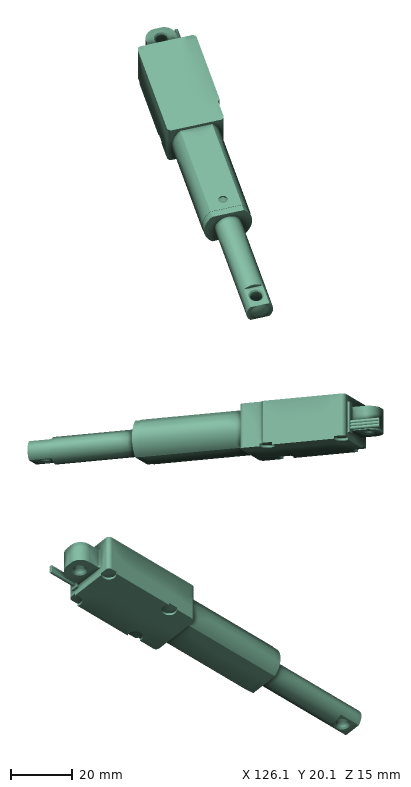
import cadquery as cq


housing_length = 37.6
housing_height = 15.0
housing_width = 19.3
housing_corner_radius = 1.4
bulge_depth = 0.8
bulge_length = 28.9

clevis_length = 8.8
clevis_width = 10.3
clevis_height = 8.0
clevis_corner_radius = 4.2
clevis_root_radius = 0.8
eye_diameter = 4.0
eye_chamfer = 0.5
clevis_eye_x = -4.3

recess_radius = 2.5
recess_depth = 0.9
recess_xs = [1.6, 27.9]
recess_ys = [-7.8, 9.2]

grommet_y = 6.7
grommet_width = 2.6
grommet_height = 10.3
grommet_projection = 0.8
grommet_insertion = 1.3
wire_count = 3
wire_diameter = 1.3
wire_pitch = 1.0
cable_z = -2.5
cable_y = 6.8
cable_length = 10.8

barrel_length = 36.1
barrel_radius = 8.3
barrel_height = 12.6
collar_length = 2.3
collar_inset = 0.1
dimple_diameter = 3.0
dimple_depth = 0.6
dimple_to_collar = 3.9

rod_radius = 4.5
flange_length = 0.4
window_gap = 0.4
window_length = 7.7
rod_end_x = 106.3
core_thickness = 6.4
core_waist_diameter = 5.0
tip_length = 8.0
dome_height = 1.0
tip_eye_x = 109.8

barrel_end_x = housing_length + barrel_length
collar_end_x = barrel_end_x + collar_length
rod_start_x = collar_end_x + flange_length
window_start_x = rod_start_x + window_gap
window_end_x = window_start_x + window_length
tip_end_x = rod_end_x + tip_length


def block(x_start, x_end, width, height, y=0.0, z=0.0):
    """A box between two X positions, centred on y and z."""
    length = x_end - x_start
    return cq.Workplane("XY").box(length, width, height).translate((x_start + length / 2, y, z))


def round_bar(radius, x_start, x_end, y=0.0, z=0.0):
    """A cylinder along X."""
    return cq.Workplane("YZ", origin=(x_start, y, z)).circle(radius).extrude(x_end - x_start)


def flattened_bar(radius, height, x_start, x_end):
    """A cylinder along X, cut flat above and below."""
    return round_bar(radius, x_start, x_end).intersect(block(x_start, x_end, 2 * radius, height))


def eye_cutter(x, height):
    """A vertical eye hole with a chamfer at both ends."""
    radius = eye_diameter / 2
    half = height / 2
    return (
        cq.Workplane("XZ")
        .moveTo(0, -half)
        .lineTo(radius + eye_chamfer, -half)
        .lineTo(radius, eye_chamfer - half)
        .lineTo(radius, half - eye_chamfer)
        .lineTo(radius + eye_chamfer, half)
        .lineTo(0, half)
        .close()
        .revolve(360, (0, 0), (0, 1))
        .translate((x, 0, 0))
    )


def housing_box():
    """The main box, with the shallow bulge along its +Y side."""
    side = housing_width / 2
    return (
        cq.Workplane("XY", origin=(0, 0, -housing_height / 2))
        .moveTo(0, -side)
        .lineTo(housing_length, -side)
        .lineTo(housing_length, side)
        .lineTo(bulge_length + bulge_depth, side)
        .lineTo(bulge_length, side + bulge_depth)
        .lineTo(0, side + bulge_depth)
        .close()
        .extrude(housing_height)
        .edges("(<X or >X) and |Z")
        .fillet(housing_corner_radius)
    )


def rear_clevis():
    """The rounded lug, flared by a fillet where it meets the housing."""
    half = clevis_width / 2
    root = clevis_root_radius
    lug = block(-clevis_length, root, clevis_width, clevis_height)
    lug = lug.edges("<X and |Z").fillet(clevis_corner_radius)
    flare = block(-root, root, clevis_width + 2 * root, clevis_height)
    for side in (-1, 1):
        corner = cq.Workplane("XY").cylinder(clevis_height, root)
        flare = flare.cut(corner.translate((-root, side * (half + root), 0)))
    return lug.union(flare).cut(eye_cutter(clevis_eye_x, clevis_height))


def screw_recesses():
    """Round recesses that break out through the side walls."""
    points = [(x, y) for x in recess_xs for y in recess_ys]
    return (
        cq.Workplane("XY", origin=(0, 0, -housing_height / 2))
        .pushPoints(points)
        .circle(recess_radius)
        .extrude(recess_depth)
    )


def grommet_block():
    """The rectangular grommet, seated in both housing halves."""
    return block(-grommet_projection, grommet_insertion, grommet_width, grommet_height, grommet_y)


def make_cable():
    """The grommet and the flat cable of joined round wires."""
    cable = grommet_block()
    for i in range(wire_count):
        z = cable_z + (i - (wire_count - 1) / 2) * wire_pitch
        cable = cable.union(round_bar(wire_diameter / 2, -cable_length, 0, cable_y, z))
    return cable


def make_housing_half(side):
    """The housing half above (side = 1) or below (side = -1) the parting plane."""
    whole = housing_box().union(rear_clevis()).cut(screw_recesses()).cut(grommet_block())
    span = housing_length + clevis_length
    half = block(-clevis_length, housing_length, span, housing_height, 0, side * housing_height / 2)
    return whole.intersect(half)


def make_barrel():
    """The flattened barrel with its slightly smaller end collar and a round dimple on top."""
    barrel = flattened_bar(barrel_radius, barrel_height, housing_length, barrel_end_x)
    collar_radius = barrel_radius - collar_inset
    collar_height = barrel_height - 2 * collar_inset
    collar = flattened_bar(collar_radius, collar_height, barrel_end_x, collar_end_x)
    dimple = (
        cq.Workplane("XY", origin=(barrel_end_x - dimple_to_collar, 0, barrel_height / 2))
        .circle(dimple_diameter / 2)
        .extrude(-dimple_depth)
    )
    return barrel.union(collar).cut(dimple)


def core_envelope():
    """The space the core takes up: base flange, round waist, window blocks, and tip."""
    full_width = 3 * rod_radius
    flange = block(collar_end_x, rod_start_x, full_width, full_width)
    waist = round_bar(core_waist_diameter / 2, rod_start_x, rod_end_x)
    windows = block(window_start_x, window_end_x, full_width, core_thickness)
    tip = block(rod_end_x, tip_end_x, full_width, core_thickness)
    return flange.union(waist).union(windows).union(tip)


def tip_dome():
    """A shallow spherical cap on the end face of the tip."""
    half = core_thickness / 2
    crown_x = tip_end_x + dome_height
    return (
        cq.Workplane("XY")
        .moveTo(tip_end_x, 0)
        .lineTo(crown_x, 0)
        .radiusArc((tip_end_x, half), -(half**2 + dome_height**2) / (2 * dome_height))
        .close()
        .revolve(360, (0, 0), (1, 0))
    )


def make_core():
    """The core: flush with the rod in its side windows, and ending in the eyed, domed tip."""
    core = round_bar(rod_radius, collar_end_x, tip_end_x).intersect(core_envelope())
    return core.union(tip_dome()).cut(eye_cutter(tip_eye_x, core_thickness))


def make_rod():
    """The rod tube with a side window on +Y and on -Y."""
    return round_bar(rod_radius, rod_start_x, rod_end_x).cut(core_envelope())


upper_housing = make_housing_half(1)
lower_housing = make_housing_half(-1)
cable = make_cable()
barrel = make_barrel()
rod = make_rod()
core = make_core()

bodies = [upper_housing, lower_housing, cable, barrel, rod, core]
result = cq.Compound.makeCompound([body.val() for body in bodies])